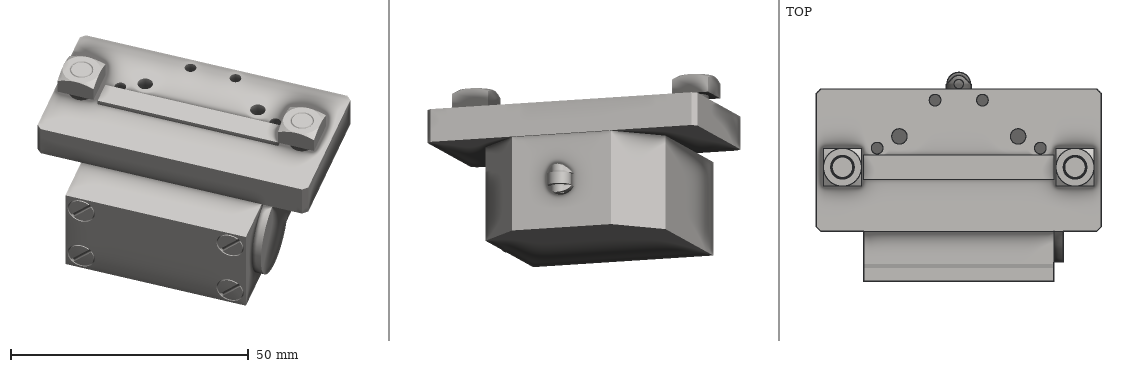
import cadquery as cq
import math

housing_width = 40.0
housing_depth = 40.0
housing_height = housing_depth / 2
cover_thickness = 3.0
gasket_thickness = 0.5
rear_corner_chamfer = 9.0
mid_height = housing_height / 2

screw_pitch_x = 33.0
screw_pitch_z = 13.0
screw_bore_diameter = 6.0
screw_head_diameter = 5.5
screw_slot_width = 0.8
screw_recess_depth = 0.8
screw_slot_angle = 45

flange_diameter = 18.0
flange_thickness = 2.0
flange_y = 13.0

plate_length = 60.0
plate_width = 30.0
plate_thickness = 7.0
plate_front_y = 10.5
plate_corner_chamfer = 1.0
plate_rear_y = plate_front_y + plate_width
plate_top_z = housing_height + plate_thickness

rear_hole_inset = 2.4
small_hole_diameter = 2.45
large_hole_diameter = 3.25
plate_hole_pairs = [
    (5.0, plate_rear_y - rear_hole_inset, small_hole_diameter),
    (12.5, 30.5, large_hole_diameter),
    (17.15, 28.0, small_hole_diameter),
]

clamp_line_y = 24.0
key_length = housing_width
key_width = 5.1
key_height = 1.0

overall_height = 33.5
stud_spacing = 48.9
stud_diameter = 5.3
nut_width = 8.0
nut_height = 4.0
nut_corner_drop = 0.9
nut_corner_radius = nut_width / math.sqrt(2)
nut_bore_diameter = 5.0
stud_tip_diameter = 4.3
tip_groove_depth = (nut_bore_diameter - stud_tip_diameter) / 4

overall_depth = 44.0
plunger_diameter = 6.0
plunger_nose_radius = 1.8
roller_diameter = 5.0
roller_thickness = 2.45
roller_clearance = 0.1
roller_pin_diameter = 2.0
roller_y = overall_depth - roller_diameter / 2


def z_cylinder(diameter, x, y, z_bottom, height):
    """Vertical cylinder standing on z_bottom."""
    base = cq.Workplane("XY", origin=(x, y, z_bottom))
    return base.circle(diameter / 2).extrude(height)


def housing_slab(front_y, thickness):
    """Full-width, full-height slab of the housing."""
    slab = cq.Workplane("XY").box(housing_width, thickness, housing_height, centered=(True, False, False))
    return slab.translate((0, front_y, 0))


def make_housing():
    """Body, gasket and cover with flush joints; the joint lines stay as edges."""
    body_front_y = cover_thickness + gasket_thickness
    body = housing_slab(body_front_y, housing_depth - body_front_y)
    body = body.edges("|Z and >Y").chamfer(rear_corner_chamfer)
    gasket = housing_slab(cover_thickness, gasket_thickness)
    cover = housing_slab(0, cover_thickness)
    return body.union(gasket, clean=False).union(cover, clean=False)


def make_screw_recess():
    """Material removed at one cover screw: a ring of clearance and the driver slot, centred on the origin."""
    front = cq.Workplane("XZ")
    ring = front.circle(screw_bore_diameter / 2).circle(screw_head_diameter / 2).extrude(-screw_recess_depth)
    slot = front.rect(screw_head_diameter, screw_slot_width).extrude(-screw_recess_depth)
    slot = slot.rotate((0, 0, 0), (0, 1, 0), -screw_slot_angle)
    return ring.union(slot)


def make_flange():
    """Disc on the +X side of the housing, centred at mid height."""
    side = cq.Workplane("YZ", origin=(housing_width / 2, flange_y, mid_height))
    return side.circle(flange_diameter / 2).extrude(flange_thickness)


def make_plate():
    """Top plate with bevelled corners and mirrored pairs of through holes."""
    plate = cq.Workplane("XY").box(plate_length, plate_width, plate_thickness, centered=(True, False, False))
    plate = plate.translate((0, plate_front_y, housing_height))
    plate = plate.edges("|Z").chamfer(plate_corner_chamfer)
    for x, y, diameter in plate_hole_pairs:
        for side in (-1, 1):
            plate = plate.cut(z_cylinder(diameter, side * x, y, housing_height, plate_thickness))
    return plate


def make_key():
    """Flat bar on the plate, along the line between the studs."""
    key = cq.Workplane("XY").box(key_length, key_width, key_height, centered=(True, True, False))
    return key.translate((0, clamp_line_y, plate_top_z))


def make_clamp(x):
    """Stud with a square nut whose top corners are turned to a cone; a V groove parts bore and stud tip."""
    nut_z = overall_height - nut_height
    nut = cq.Workplane("XY").rect(nut_width, nut_width).extrude(nut_height)
    turned_blank = (
        cq.Workplane("XZ")
        .moveTo(0, 0)
        .lineTo(nut_corner_radius, 0)
        .lineTo(nut_corner_radius, nut_height - nut_corner_drop)
        .lineTo(nut_width / 2, nut_height)
        .lineTo(0, nut_height)
        .close()
        .revolve(360, (0, 0), (0, 1))
    )
    groove = (
        cq.Workplane("XZ")
        .moveTo(nut_bore_diameter / 2, nut_height)
        .lineTo(stud_tip_diameter / 2, nut_height)
        .lineTo((nut_bore_diameter + stud_tip_diameter) / 4, nut_height - tip_groove_depth)
        .close()
        .revolve(360, (0, 0), (0, 1))
    )
    nut = nut.intersect(turned_blank).cut(groove).translate((x, clamp_line_y, nut_z))
    stud = z_cylinder(stud_diameter, x, clamp_line_y, plate_top_z, nut_z - plate_top_z)
    return stud.union(nut)


def make_plunger():
    """Forked plunger with a rounded 45 degree nose, carrying a roller on a vertical pin."""
    radius = plunger_diameter / 2
    shaft_length = overall_depth - housing_depth
    shaft = cq.Workplane("XZ", origin=(0, housing_depth, mid_height)).circle(radius).extrude(-shaft_length)

    tangent = plunger_nose_radius / math.sqrt(2)
    shoulder_y = roller_y + 2 * tangent - radius
    nose = (
        cq.Workplane("XY")
        .moveTo(-radius, housing_depth)
        .lineTo(radius, housing_depth)
        .lineTo(radius, shoulder_y)
        .lineTo(tangent, roller_y + tangent)
        .threePointArc((0, roller_y + plunger_nose_radius), (-tangent, roller_y + tangent))
        .lineTo(-radius, shoulder_y)
        .close()
        .extrude(housing_height)
    )
    slot_height = roller_thickness + 2 * roller_clearance
    slot = cq.Workplane("XY").box(plunger_diameter, shaft_length, slot_height, centered=(True, False, True))
    fork = shaft.intersect(nose).cut(slot.translate((0, housing_depth, mid_height)))

    roller = z_cylinder(roller_diameter, 0, roller_y, mid_height - roller_thickness / 2, roller_thickness)
    pin = z_cylinder(roller_pin_diameter, 0, roller_y, mid_height - radius, plunger_diameter)
    return fork.union(roller).union(pin)


result = make_housing()
screw_recess = make_screw_recess()
for x_side in (-1, 1):
    for z_side in (-1, 1):
        screw_x = x_side * screw_pitch_x / 2
        screw_z = mid_height + z_side * screw_pitch_z / 2
        result = result.cut(screw_recess.translate((screw_x, 0, screw_z)), clean=False)

attachments = [make_flange(), make_plate(), make_key(), make_plunger()]
attachments += [make_clamp(x_side * stud_spacing / 2) for x_side in (-1, 1)]
for attachment in attachments:
    result = result.union(attachment, clean=False)